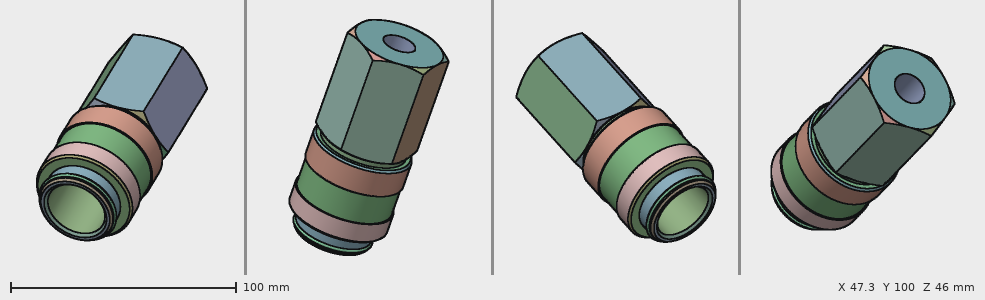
import cadquery as cq
import math


length = 100.0

hex_start = 50.0
hex_across_flats = 41.0
hex_chamfer_angle = 30.0

neck_radius = 20.0
sleeve_start = 10.0
sleeve_end = 47.5
sleeve_radius = 23.0
sleeve_chamfer = 1.0
groove_start = 20.0
groove_end = 34.5
groove_radius = 22.3

nose_radius = 17.6
nose_chamfer = 1.1
ring_start = 2.0
ring_radius = 0.9

bore_radius = 13.7
bore_depth = 30.0
mouth_chamfer = 1.3
through_radius = 7.5


def revolve_about_y(profile):
    """Turn a closed XY profile about the Y axis."""
    return profile.close().revolve(360, (0, 0, 0), (0, 1, 0))


def make_hex_body():
    """Hexagon with corners on X, turned down conically at both ends."""
    flat_radius = hex_across_flats / 2
    corner_radius = flat_radius / math.cos(math.pi / 6)
    chamfer_length = (corner_radius - flat_radius) * math.tan(math.radians(hex_chamfer_angle))
    prism = (
        cq.Workplane("XZ", origin=(0, hex_start, 0))
        .polygon(6, 2 * corner_radius)
        .extrude(hex_start - length)
    )
    envelope = revolve_about_y(
        cq.Workplane("XY")
        .moveTo(0, hex_start)
        .lineTo(flat_radius, hex_start)
        .lineTo(corner_radius, hex_start + chamfer_length)
        .lineTo(corner_radius, length - chamfer_length)
        .lineTo(flat_radius, length)
        .lineTo(0, length)
    )
    return prism.intersect(envelope)


def make_turned_body():
    """Nose, snap ring, grooved sleeve and neck as one turned outline."""
    ring_end = ring_start + 2 * ring_radius
    ring_crest = (nose_radius + ring_radius, ring_start + ring_radius)
    sleeve_face_radius = sleeve_radius - sleeve_chamfer
    return revolve_about_y(
        cq.Workplane("XY")
        .moveTo(0, 0)
        .lineTo(nose_radius - nose_chamfer, 0)
        .lineTo(nose_radius, nose_chamfer)
        .lineTo(nose_radius, ring_start)
        .threePointArc(ring_crest, (nose_radius, ring_end))
        .lineTo(nose_radius, sleeve_start)
        .lineTo(sleeve_face_radius, sleeve_start)
        .lineTo(sleeve_radius, sleeve_start + sleeve_chamfer)
        .lineTo(sleeve_radius, groove_start)
        .lineTo(groove_radius, groove_start)
        .lineTo(groove_radius, groove_end)
        .lineTo(sleeve_radius, groove_end)
        .lineTo(sleeve_radius, sleeve_end - sleeve_chamfer)
        .lineTo(sleeve_face_radius, sleeve_end)
        .lineTo(neck_radius, sleeve_end)
        .lineTo(neck_radius, hex_start)
        .lineTo(0, hex_start)
    )


def make_bore():
    """Chamfered front bore followed by a smaller through hole."""
    return revolve_about_y(
        cq.Workplane("XY")
        .moveTo(0, 0)
        .lineTo(bore_radius + mouth_chamfer, 0)
        .lineTo(bore_radius, mouth_chamfer)
        .lineTo(bore_radius, bore_depth)
        .lineTo(through_radius, bore_depth)
        .lineTo(through_radius, length)
        .lineTo(0, length)
    )


result = make_turned_body().union(make_hex_body()).cut(make_bore())